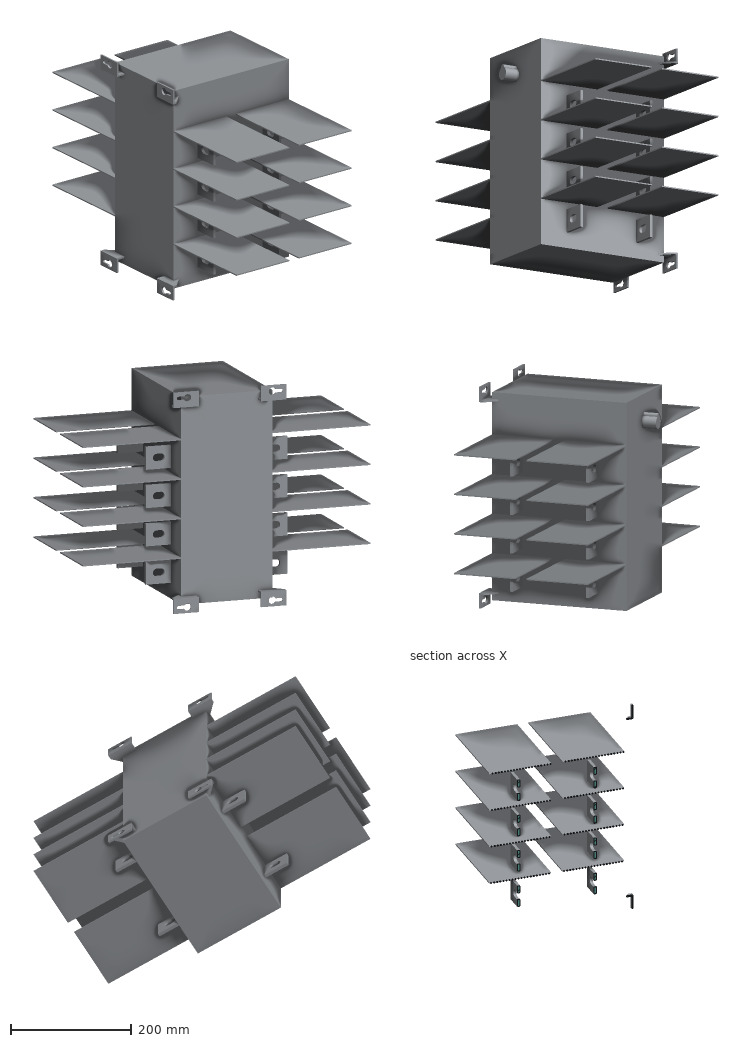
import cadquery as cq

body_width = 161.5
body_depth = 239.5
body_height = 353.0

barrier_span = 509.0
barrier_depth = 110.0
barrier_thickness = 2.0
barrier_pitch = 67.0
barrier_top_z = 104.0
barrier_count = 4

terminal_span = 250.5
terminal_height = 38.5
terminal_thickness = 5.0
terminal_pitch = 65.0
terminal_top_z = 65.0
terminal_count = 4
terminal_inset = 52.0
bolt_slot_length = 20.5
bolt_slot_height = 13.0
bolt_slot_x = 102.5

foot_span_x = 200.0
foot_span_z = 376.0
foot_width = 45.0
foot_flange_height = 26.0
foot_thickness = 3.0
foot_standoff = 16.0
foot_corner_depth = 7.5
keyhole_diameter = 12.5
keyhole_slot_width = 6.0
keyhole_edge_x = 25.0
keyhole_slot_end_x = 9.0
keyhole_edge_z = 10.0

shaft_diameter = 22.0
shaft_length = 25.5
shaft_z = 130.0
key_width = 8.0
key_top = 16.0


def box_between(x_range, y_range, z_range):
    """Axis-aligned box from its three coordinate ranges."""
    (x0, x1), (y0, y1), (z0, z1) = x_range, y_range, z_range
    return cq.Workplane("XY").box(x1 - x0, y1 - y0, z1 - z0, centered=False).translate((x0, y0, z0))


def across(size, center=0.0):
    """Coordinate range of a given size about a centre."""
    return (center - size / 2, center + size / 2)


def make_barrier(y_start, z):
    y_range = (y_start, y_start + barrier_depth)
    return box_between(across(barrier_span), y_range, across(barrier_thickness, z))


def make_terminal(y, z):
    """Bar passing through the housing, with a bolt slot at each end."""
    bar = box_between(across(terminal_span), across(terminal_thickness, y), across(terminal_height, z))
    slots = (
        cq.Workplane("XZ", origin=(0, y, z))
        .pushPoints([(-bolt_slot_x, 0), (bolt_slot_x, 0)])
        .slot2D(bolt_slot_length, bolt_slot_height)
        .extrude(terminal_thickness, both=True)
    )
    return bar.cut(slots)


def make_foot():
    """Angle bracket at the +X, +Z corner."""
    outer_x = foot_span_x / 2
    inner_x = outer_x - foot_width
    top_z = foot_span_z / 2
    bottom_z = top_z - foot_flange_height
    front_y = -foot_standoff

    flange = box_between((inner_x, outer_x), (front_y, front_y + foot_thickness), (bottom_z, top_z))

    corner_y = front_y + foot_corner_depth
    side_x = body_width / 2
    web = (
        cq.Workplane("XY", origin=(0, 0, bottom_z))
        .moveTo(inner_x, front_y)
        .lineTo(outer_x, front_y)
        .lineTo(outer_x, corner_y)
        .lineTo(side_x, corner_y + outer_x - side_x)
        .lineTo(inner_x, corner_y + outer_x - side_x)
        .close()
        .extrude(foot_thickness)
    )

    entry_x = outer_x - keyhole_edge_x
    slot_end_x = outer_x - keyhole_slot_end_x
    keyhole_z = top_z - keyhole_edge_z
    keyhole_plane = cq.Workplane("XZ", origin=(0, front_y + foot_thickness, keyhole_z))
    entry = keyhole_plane.center(entry_x, 0).circle(keyhole_diameter / 2).extrude(foot_thickness)
    slot = (
        keyhole_plane.center((entry_x + slot_end_x) / 2, 0)
        .slot2D(slot_end_x - entry_x + keyhole_slot_width, keyhole_slot_width)
        .extrude(foot_thickness)
    )
    return flange.union(web).cut(entry).cut(slot)


def make_shaft_rod(diameter, z):
    """Round rod standing out from the back of the housing."""
    return cq.Workplane("XZ", origin=(0, body_depth, z)).circle(diameter / 2).extrude(-shaft_length)


def make_shaft():
    """Round shaft with a key whose top is a half round."""
    y_range = (body_depth, body_depth + shaft_length)
    key_round_z = shaft_z + key_top - key_width / 2
    key_web = box_between(across(key_width), y_range, (shaft_z, key_round_z))
    key_crown = make_shaft_rod(key_width, key_round_z)
    return make_shaft_rod(shaft_diameter, shaft_z).union(key_web).union(key_crown)


result = box_between(across(body_width), (0, body_depth), across(body_height))

for level in range(barrier_count):
    barrier_z = barrier_top_z - level * barrier_pitch
    for barrier_y in (0, body_depth - barrier_depth):
        result = result.union(make_barrier(barrier_y, barrier_z))

for level in range(terminal_count):
    terminal_z = terminal_top_z - level * terminal_pitch
    for terminal_y in (terminal_inset, body_depth - terminal_inset):
        result = result.union(make_terminal(terminal_y, terminal_z))

foot = make_foot()
feet_top = foot.union(foot.mirror("YZ"))
result = result.union(feet_top).union(feet_top.mirror("XY"))

result = result.union(make_shaft())